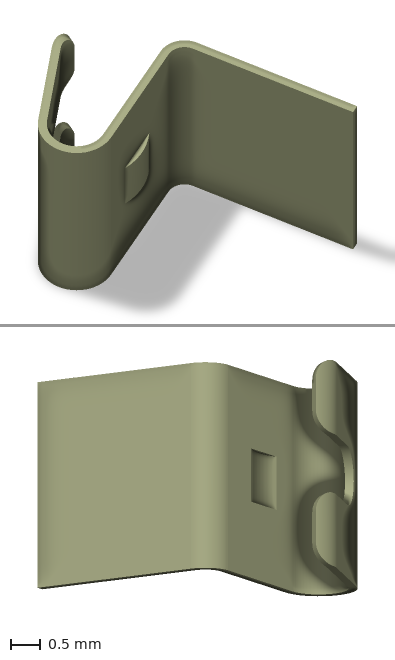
import cadquery as cq
import math

length = 5.16
depth = 3.17
height = 3.51
thickness = 0.15

wall_face_x = 1.835
hook_radius = 0.65
shoulder_radius = 0.45
tip_radius = 0.6
tip_center_y = 2.15
tip_end_angle = 34.5
tip_corner_radius = 0.36

notch_radius = 0.505
notch_bottom_offset = 0.235

bump_center_y = 1.585
bump_chord = 0.875
bump_rise = 0.095
bump_height = 0.91

hook_center = (wall_face_x - hook_radius, hook_radius)
tip_center = (tip_radius, tip_center_y)
wall_back_x = wall_face_x - thickness
shoulder_center = (wall_back_x + shoulder_radius, depth - shoulder_radius)

center_dx = hook_center[0] - tip_center[0]
center_dy = tip_center[1] - hook_center[1]
leg_lean = math.degrees(
    math.atan2(center_dx, center_dy)
    - math.asin((hook_radius - tip_radius) / math.hypot(center_dx, center_dy))
)


def polar(center, radius, angle):
    """Point on a circle, with the angle in degrees from +X."""
    turn = math.radians(angle)
    return (center[0] + radius * math.cos(turn), center[1] + radius * math.sin(turn))


leg_normal_angle = 180 + leg_lean
tip_normal_angle = 180 - tip_end_angle
tip_middle_angle = (leg_normal_angle + tip_normal_angle) / 2
hook_middle_angle = 270
shoulder_middle_angle = 135


def make_strip():
    """Bent sheet: plate, shoulder, wall, hook, leg and curled tip."""
    hook_inner = hook_radius - thickness
    shoulder_inner = shoulder_radius - thickness
    tip_inner = tip_radius - thickness
    return (
        cq.Workplane("XY")
        .moveTo(length, depth)
        .lineTo(shoulder_center[0], depth)
        .threePointArc(
            polar(shoulder_center, shoulder_radius, shoulder_middle_angle),
            (wall_back_x, shoulder_center[1]),
        )
        .lineTo(wall_back_x, hook_center[1])
        .threePointArc(
            polar(hook_center, hook_inner, hook_middle_angle),
            polar(hook_center, hook_inner, leg_normal_angle),
        )
        .lineTo(*polar(tip_center, tip_inner, leg_normal_angle))
        .threePointArc(
            polar(tip_center, tip_inner, tip_middle_angle),
            polar(tip_center, tip_inner, tip_normal_angle),
        )
        .lineTo(*polar(tip_center, tip_radius, tip_normal_angle))
        .threePointArc(
            polar(tip_center, tip_radius, tip_middle_angle),
            polar(tip_center, tip_radius, leg_normal_angle),
        )
        .lineTo(*polar(hook_center, hook_radius, leg_normal_angle))
        .threePointArc(
            polar(hook_center, hook_radius, hook_middle_angle),
            (wall_face_x, hook_center[1]),
        )
        .lineTo(wall_face_x, shoulder_center[1])
        .threePointArc(
            polar(shoulder_center, shoulder_inner, shoulder_middle_angle),
            (shoulder_center[0], depth - thickness),
        )
        .lineTo(length, depth - thickness)
        .close()
        .extrude(height)
    )


def make_notch_cutter():
    """Round-bottomed slot cut square to the leg, open past the tip."""
    cut_reach = 4 * thickness
    slot_length = depth
    leg_start = polar(hook_center, hook_radius, leg_normal_angle)
    lean = math.radians(leg_lean)
    leg_plane = cq.Plane(
        origin=(leg_start[0], leg_start[1], height / 2),
        xDir=(-math.sin(lean), math.cos(lean), 0),
        normal=(math.cos(lean), math.sin(lean), 0),
    )
    round_center = notch_bottom_offset + notch_radius
    return (
        cq.Workplane(leg_plane)
        .moveTo(round_center + slot_length, -notch_radius)
        .lineTo(round_center, -notch_radius)
        .threePointArc((notch_bottom_offset, 0), (round_center, notch_radius))
        .lineTo(round_center + slot_length, notch_radius)
        .close()
        .extrude(cut_reach, both=True)
    )


def round_tip_corners(body):
    """Round the four corners of the two prongs, square to the end of the tip."""
    cut_reach = 2 * thickness
    end_point = polar(tip_center, tip_radius, tip_normal_angle)
    end_angle = math.radians(tip_end_angle)
    tip_plane = cq.Plane(
        origin=(end_point[0], end_point[1], 0),
        xDir=(math.sin(end_angle), math.cos(end_angle), 0),
        normal=(math.cos(end_angle), -math.sin(end_angle), 0),
    )
    arc_inset = tip_corner_radius * (1 - math.sqrt(0.5))
    corners = (
        (0, 1),
        (height / 2 - notch_radius, -1),
        (height / 2 + notch_radius, 1),
        (height, -1),
    )
    for corner_height, inward in corners:
        spandrel = (
            cq.Workplane(tip_plane)
            .moveTo(-tip_corner_radius, corner_height)
            .threePointArc(
                (-arc_inset, corner_height + inward * arc_inset),
                (0, corner_height + inward * tip_corner_radius),
            )
            .lineTo(0, corner_height)
            .close()
            .extrude(cut_reach, both=True)
        )
        body = body.cut(spandrel)
    return body


def press_bump(body):
    """Add the domed front of the bump and cut its concentric hollow back."""
    outer_radius = (bump_chord**2 / 4 + bump_rise**2) / (2 * bump_rise)
    inner_radius = outer_radius - thickness
    center_x = wall_face_x + bump_rise - outer_radius

    def segment(radius, flat_x):
        half_chord = math.sqrt(radius**2 - (flat_x - center_x) ** 2)
        return (
            cq.Workplane("XY", origin=(0, 0, (height - bump_height) / 2))
            .moveTo(flat_x, bump_center_y - half_chord)
            .threePointArc(
                (center_x + radius, bump_center_y),
                (flat_x, bump_center_y + half_chord),
            )
            .close()
            .extrude(bump_height)
        )

    dome = segment(outer_radius, wall_face_x)
    hollow = segment(inner_radius, wall_back_x)
    return body.union(dome).cut(hollow)


strip = make_strip().cut(make_notch_cutter())
result = press_bump(round_tip_corners(strip))